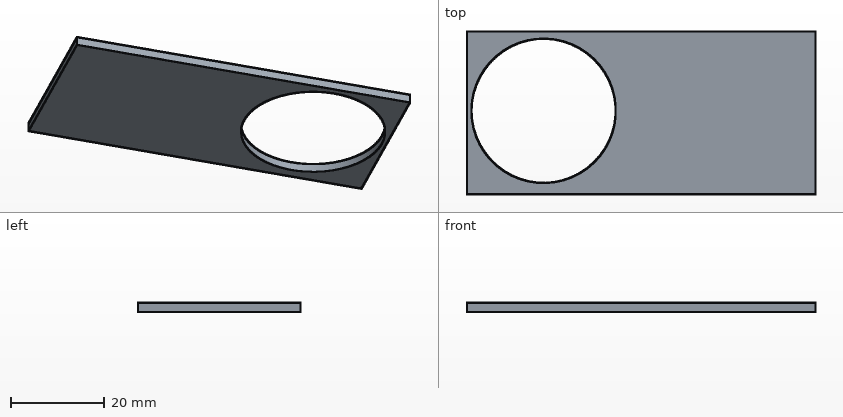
import cadquery as cq

length = 75.0
width = 35.0
thickness = 2.0

hole_diameter = 31.0
hole_from_end = 16.5
hole_offset_y = 0.45

hole_x = hole_from_end - length / 2

plate = cq.Workplane("XY").box(length, width, thickness)

result = (
    plate.faces(">Z")
    .workplane(origin=(0, 0, 0))
    .center(hole_x, hole_offset_y)
    .hole(hole_diameter)
)